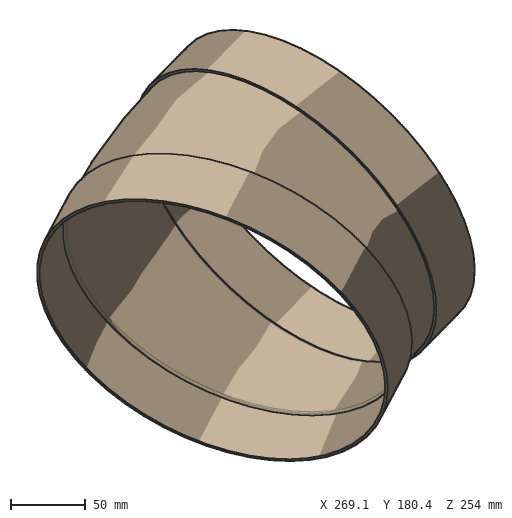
import cadquery as cq

collar_diameter = 254.0
collar_bore = 250.0
body_diameter = 250.0
body_wall = 2.0
collar_length = 42.0
bend_radius = 250.8
bend_angle = 15

body_bore = body_diameter - 2 * body_wall
lip_radius = (collar_bore - body_bore) / 2
socket_depth = collar_length - lip_radius


def make_collar():
    """Socket open at Y = 0, ending at a rounded lip that leads into the body bore."""
    return (
        cq.Workplane("XY")
        .moveTo(collar_bore / 2, 0)
        .lineTo(collar_diameter / 2, 0)
        .lineTo(collar_diameter / 2, collar_length)
        .lineTo(body_bore / 2, collar_length)
        .radiusArc((collar_bore / 2, socket_depth), -lip_radius)
        .close()
        .revolve(360, (0, 0, 0), (0, 1, 0))
    )


def make_bend():
    """Curved tube starting at the inner end of the first collar."""
    return (
        cq.Workplane("XZ", origin=(0, collar_length, 0))
        .circle(body_diameter / 2)
        .circle(body_bore / 2)
        .revolve(bend_angle, (bend_radius, 0, 0), (bend_radius, -1, 0))
    )


def make_far_collar():
    """The same collar, mirrored about the start of the bend and swung round the bend axis."""
    mirrored = make_collar().mirror("XZ", (0, collar_length, 0))
    axis_start = (bend_radius, collar_length, 0)
    axis_end = (bend_radius, collar_length, 1)
    return mirrored.rotate(axis_start, axis_end, -bend_angle)


result = make_collar().union(make_bend()).union(make_far_collar())